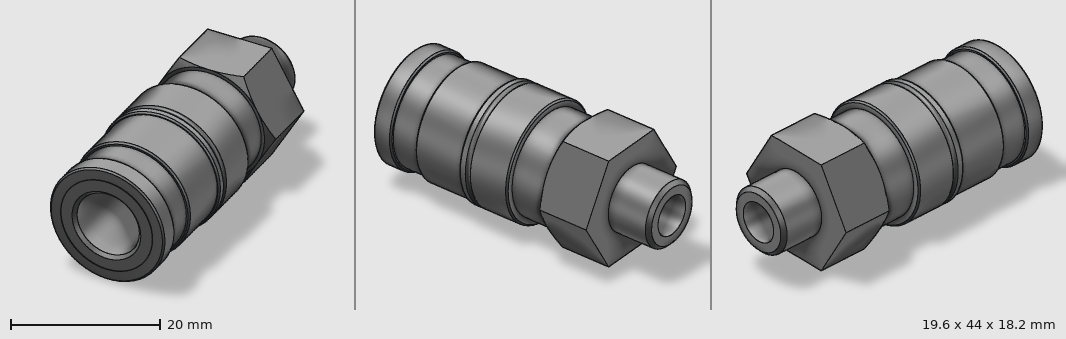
import cadquery as cq
import math


length = 44.0
lip_height = 0.1
sleeve_front = lip_height
rim_end = 3.1
recess_end = 7.2
collar_front = 14.9
groove_front = 16.0
groove_back = 16.85
collar_back = 23.1
hex_front = 28.5
hex_back = 37.1

liner_dia = 14.0
sleeve_dia = 17.5
recess_dia = 16.5
collar_dia = 18.2
neck_dia = 16.0
stud_dia = 10.0
bore_dia = 9.5
passage_dia = 6.0

edge_chamfer = 0.25
stud_chamfer = 0.6
groove_depth = 0.3
mouth_chamfer = 0.5
bore_depth = 22.0
hex_across_flats = 17.0
hex_chamfer_angle = 30.0

hex_across_corners = hex_across_flats / math.cos(math.radians(30))


def rod(diameter, start, end):
    """Round bar along Y from start to end."""
    plane = cq.Workplane("XZ", origin=(0, start, 0))
    return plane.circle(diameter / 2).extrude(start - end)


def chamfered_rod(diameter, start, end, size, edges):
    """Round bar with a chamfer on its front ("<Y") and/or back (">Y") edge."""
    bar = rod(diameter, start, end)
    for edge in edges:
        bar = bar.faces(edge).chamfer(size)
    return bar


def turned_body():
    """Liner, stepped sleeve, collar, neck and stud, before boring."""
    liner = rod(liner_dia, 0, rim_end)
    rim = chamfered_rod(sleeve_dia, sleeve_front, rim_end, edge_chamfer, ["<Y", ">Y"])
    recess = rod(recess_dia, rim_end, recess_end)
    barrel = chamfered_rod(sleeve_dia, recess_end, collar_front, edge_chamfer, ["<Y"])
    collar = chamfered_rod(collar_dia, collar_front, collar_back, edge_chamfer, ["<Y", ">Y"])
    neck = rod(neck_dia, collar_back, hex_front)
    stud = chamfered_rod(stud_dia, hex_back, length, stud_chamfer, [">Y"])
    body = liner
    for section in (rim, recess, barrel, collar, neck, stud):
        body = body.union(section)
    return body


def wrench_hex():
    """Hexagon with corners on X, its front corners turned to a cone."""
    blank = (
        cq.Workplane("XZ", origin=(0, hex_front, 0))
        .polygon(6, hex_across_corners)
        .extrude(hex_front - hex_back)
    )
    flat_radius = hex_across_flats / 2
    corner_radius = hex_across_corners / 2
    cone_length = (corner_radius - flat_radius) * math.tan(math.radians(hex_chamfer_angle))
    envelope = (
        cq.Workplane("XY")
        .moveTo(0, hex_front)
        .lineTo(flat_radius, hex_front)
        .lineTo(corner_radius, hex_front + cone_length)
        .lineTo(corner_radius, hex_back)
        .lineTo(0, hex_back)
        .close()
        .revolve(360, (0, 0, 0), (0, 1, 0))
    )
    return blank.intersect(envelope)


def collar_groove():
    """Ring with an arc-shaped floor, cut around the collar."""
    collar_radius = collar_dia / 2
    clear_radius = collar_radius + groove_depth
    groove_middle = (groove_front + groove_back) / 2
    return (
        cq.Workplane("XY")
        .moveTo(clear_radius, groove_front)
        .lineTo(collar_radius, groove_front)
        .threePointArc((collar_radius - groove_depth, groove_middle), (collar_radius, groove_back))
        .lineTo(clear_radius, groove_back)
        .close()
        .revolve(360, (0, 0, 0), (0, 1, 0))
    )


def stepped_bore():
    """Socket bore with a chamfered mouth, then a smaller passage through the stud."""
    bore_radius = bore_dia / 2
    passage_radius = passage_dia / 2
    return (
        cq.Workplane("XY")
        .moveTo(0, 0)
        .lineTo(bore_radius + mouth_chamfer, 0)
        .lineTo(bore_radius, mouth_chamfer)
        .lineTo(bore_radius, bore_depth)
        .lineTo(passage_radius, bore_depth)
        .lineTo(passage_radius, length)
        .lineTo(0, length)
        .close()
        .revolve(360, (0, 0, 0), (0, 1, 0))
    )


result = turned_body().union(wrench_hex()).cut(collar_groove()).cut(stepped_bore())